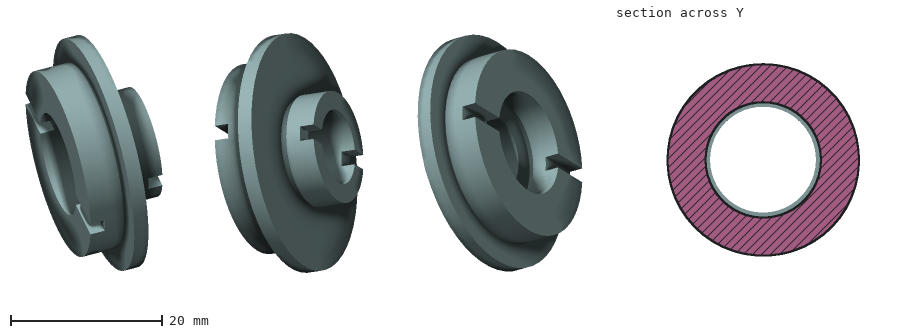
import cadquery as cq

overall_length = 12.0
hub_length = 4.0
neck_length = 1.0
flange_thickness = 2.0
relief_width = 0.3
boss_length = overall_length - hub_length - neck_length - flange_thickness - relief_width

flange_diameter = 31.75
boss_diameter = 25.4
relief_depth = 0.3
relief_diameter = boss_diameter - 2 * relief_depth
hub_diameter = 15.0
neck_diameter = 14.0
bore_diameter = 10.0

recess_diameter = 14.0
recess_depth = boss_length + relief_width
undercut_diameter = 15.2
undercut_width = 1.0

slot_width = 2.0
slot_depth = 2.0
slot_starts = (0, overall_length - slot_depth)

boss_back = boss_length
flange_front = boss_back + relief_width
flange_back = flange_front + flange_thickness
neck_back = flange_back + neck_length


def disc(diameter, start_y, length):
    """Solid cylinder on the Y axis from start_y toward +Y."""
    axis_start = cq.Vector(0, start_y, 0)
    axis_direction = cq.Vector(0, 1, 0)
    return cq.Workplane(obj=cq.Solid.makeCylinder(diameter / 2, length, axis_start, axis_direction))


def turned_body():
    """Boss, relief groove, flange, neck and hub stacked along Y."""
    body = disc(boss_diameter, 0, boss_length)
    body = body.union(disc(relief_diameter, boss_back, relief_width))
    body = body.union(disc(flange_diameter, flange_front, flange_thickness))
    body = body.union(disc(neck_diameter, flange_back, neck_length))
    return body.union(disc(hub_diameter, neck_back, hub_length))


def cut_bore_and_recess(body):
    """Through bore, recess in the boss face and the undercut at the recess floor."""
    body = body.cut(disc(bore_diameter, 0, overall_length))
    body = body.cut(disc(recess_diameter, 0, recess_depth))
    return body.cut(disc(undercut_diameter, recess_depth - undercut_width, undercut_width))


def end_slot(start_y):
    """Slot cutter running along X across a whole end face."""
    return (
        cq.Workplane("XY")
        .box(flange_diameter, slot_depth, slot_width, centered=(True, False, True))
        .translate((0, start_y, 0))
    )


result = cut_bore_and_recess(turned_body())
for slot_start in slot_starts:
    result = result.cut(end_slot(slot_start))